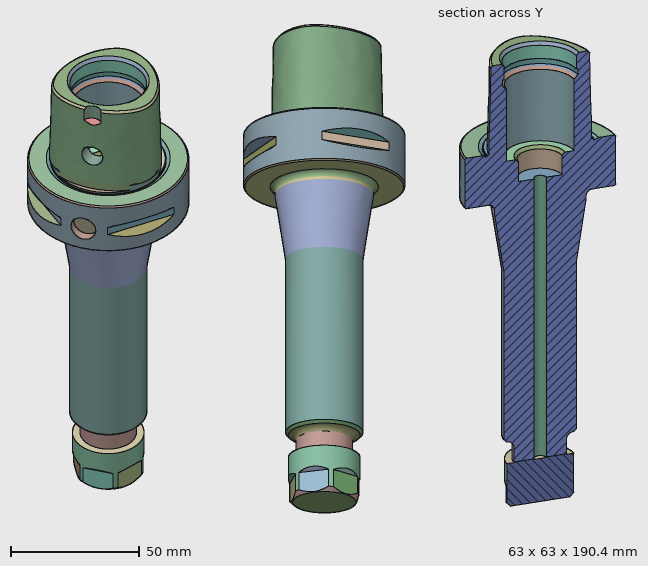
import cadquery as cq
import math

TOTAL_HEIGHT = 190.4
NUT_TOP = 18.7
NECK_TOP = 25.5
NECK_FILLET_TOP = 27.8
SHANK_BOTTOM = 29.0
SHANK_TOP = 100.3
FLARE_TOP = 127.0
FLARE_COLLAR_TOP = 128.1
FLANGE_BOTTOM = 130.6
FLANGE_TOP = 152.5
TAPER_BOTTOM = 155.4

FLANGE_RADIUS = 63.0 / 2
FLANGE_CHAMFER = 0.5
FLARE_RADIUS = 38.5 / 2
SHANK_RADIUS = 30.3 / 2
SHANK_CHAMFER = 1.1
NECK_FILLET_RADIUS = 3.0
FLARE_FILLET_RADIUS = 2.7
FLARE_FILLET_WIDTH = 1.9
NECK_RADIUS = 22.0 / 2

TAPER_BASE_RADIUS = 21.9
TAPER_TOP_RADIUS = 21.04
LOBE_HEIGHT = 1.3
LOBE_COUNT = 3
TOP_CHAMFER_HEIGHT = 1.0
TOP_CHAMFER_WIDTH = 0.8

RELIEF_INNER_RADIUS = 22.3
RELIEF_FLOOR_RADIUS = 22.7
RELIEF_OUTER_RADIUS = 24.2
RELIEF_TOP = 154.8
RELIEF_DEPTH = 0.8

BORE_MOUTH_RADIUS = 32.0 / 2
BORE_RADIUS = 29.9 / 2
BORE_CHAMFER_HEIGHT = 1.3
BORE_SHOULDER_DEPTH = 10.3
INNER_BORE_RADIUS = 28.0 / 2
INNER_BORE_DEPTH = 41.9
SOCKET_MOUTH_RADIUS = 10.3
SOCKET_RADIUS = 18.0 / 2
SOCKET_DEPTH = 9.5
COOLANT_DIAMETER = 5.0
GROOVE_RADIUS = 15.6
GROOVE_START_DEPTH = 7.0
GROOVE_END_DEPTH = 9.5

NOTCH_RADIUS = 3.8
NOTCH_DEPTH = 5.9
NOTCH_POINT_HEIGHT = 2.3
NOTCH_AXIS_Y = -21.1
CROSS_HOLE_DIAMETER = 8.5
CROSS_HOLE_Z = 168.1
CHIP_HOLE_DIAMETER = 10.0
CHIP_HOLE_DEPTH = 3.8

GRIP_Z = 140.7
GRIP_COUNT = 4
GRIP_FLOOR_DISTANCE = 28.0
GRIP_FLOOR_HEIGHT = 3.5
GRIP_SIDE_ANGLE = 30.0

NUT_RADIUS = 28.0 / 2
NUT_BOTTOM_RADIUS = 12.4
NUT_CHAMFER_HEIGHT = 1.7
NUT_FLAT_DISTANCE = 12.5
NUT_FLAT_TOP = 8.8
NUT_FLAT_COUNT = 6

CLEARANCE = 1.9


def revolve_profile(profile):
    """Turn a closed radius/height outline about Z."""
    return profile.close().revolve(360, (0, 0, 0), (0, 1, 0))


def turned(points):
    return revolve_profile(cq.Workplane("XZ").polyline(points))


def lobed_wire(mean_radius, z):
    """Closed three-lobed curve with one lobe pointing along +Y."""
    def point(t):
        angle = 2 * math.pi * t
        lobe_phase = LOBE_COUNT * (angle - math.pi / 2)
        support = mean_radius + LOBE_HEIGHT * math.cos(lobe_phase)
        slope = -LOBE_COUNT * LOBE_HEIGHT * math.sin(lobe_phase)
        x = support * math.cos(angle) - slope * math.sin(angle)
        y = support * math.sin(angle) + slope * math.cos(angle)
        return cq.Vector(x, y, z)

    samples = 36
    points = [point(i / samples - 0.25) for i in range(samples)]
    return cq.Wire.assembleEdges([cq.Edge.makeSpline(points, periodic=True)])


def lobed_prism(bottom_radius, bottom_z, top_radius, top_z):
    wires = [lobed_wire(bottom_radius, bottom_z), lobed_wire(top_radius, top_z)]
    return cq.Workplane(cq.Solid.makeLoft(wires, True))


def make_turned_body():
    """Neck, shank, flare and flange."""
    flare_root_radius = FLARE_RADIUS + FLARE_FILLET_WIDTH
    profile = (
        cq.Workplane("XZ")
        .moveTo(0, NUT_TOP)
        .lineTo(NECK_RADIUS, NUT_TOP)
        .lineTo(NECK_RADIUS, NECK_TOP)
        .radiusArc((SHANK_RADIUS - SHANK_CHAMFER, NECK_FILLET_TOP), NECK_FILLET_RADIUS)
        .lineTo(SHANK_RADIUS, SHANK_BOTTOM)
        .lineTo(SHANK_RADIUS, SHANK_TOP)
        .lineTo(FLARE_RADIUS, FLARE_TOP)
        .lineTo(FLARE_RADIUS, FLARE_COLLAR_TOP)
        .radiusArc((flare_root_radius, FLANGE_BOTTOM), FLARE_FILLET_RADIUS)
        .lineTo(FLANGE_RADIUS - FLANGE_CHAMFER, FLANGE_BOTTOM)
        .lineTo(FLANGE_RADIUS, FLANGE_BOTTOM + FLANGE_CHAMFER)
        .lineTo(FLANGE_RADIUS, FLANGE_TOP - FLANGE_CHAMFER)
        .lineTo(FLANGE_RADIUS - FLANGE_CHAMFER, FLANGE_TOP)
        .lineTo(0, FLANGE_TOP)
    )
    return revolve_profile(profile)


def make_taper():
    """Lobed foot, tapered flank and chamfered top edge."""
    chamfer_z = TOTAL_HEIGHT - TOP_CHAMFER_HEIGHT
    foot = lobed_prism(TAPER_BASE_RADIUS, FLANGE_TOP - CLEARANCE, TAPER_BASE_RADIUS, TAPER_BOTTOM)
    flank = lobed_prism(TAPER_BASE_RADIUS, TAPER_BOTTOM, TAPER_TOP_RADIUS, chamfer_z)
    tip_radius = TAPER_TOP_RADIUS - TOP_CHAMFER_WIDTH
    tip = lobed_prism(TAPER_TOP_RADIUS, chamfer_z, tip_radius, TOTAL_HEIGHT)
    return foot.union(flank).union(tip)


def make_relief():
    floor_z = FLANGE_TOP - RELIEF_DEPTH
    return turned([
        (RELIEF_INNER_RADIUS, floor_z),
        (RELIEF_FLOOR_RADIUS, floor_z),
        (RELIEF_OUTER_RADIUS, FLANGE_TOP),
        (RELIEF_OUTER_RADIUS, RELIEF_TOP),
        (RELIEF_INNER_RADIUS, RELIEF_TOP),
    ])


def make_bore():
    shoulder_z = TOTAL_HEIGHT - BORE_SHOULDER_DEPTH
    ledge_z = TOTAL_HEIGHT - INNER_BORE_DEPTH
    socket_chamfer_z = ledge_z - (SOCKET_MOUTH_RADIUS - SOCKET_RADIUS)
    socket_floor_z = ledge_z - SOCKET_DEPTH
    bore = turned([
        (0, TOTAL_HEIGHT),
        (BORE_MOUTH_RADIUS, TOTAL_HEIGHT),
        (BORE_RADIUS, TOTAL_HEIGHT - BORE_CHAMFER_HEIGHT),
        (BORE_RADIUS, TOTAL_HEIGHT - GROOVE_START_DEPTH),
        (GROOVE_RADIUS, TOTAL_HEIGHT - GROOVE_START_DEPTH),
        (GROOVE_RADIUS, TOTAL_HEIGHT - GROOVE_END_DEPTH),
        (BORE_RADIUS, shoulder_z),
        (INNER_BORE_RADIUS, shoulder_z - (BORE_RADIUS - INNER_BORE_RADIUS)),
        (INNER_BORE_RADIUS, ledge_z),
        (SOCKET_MOUTH_RADIUS, ledge_z),
        (SOCKET_RADIUS, socket_chamfer_z),
        (SOCKET_RADIUS, socket_floor_z),
        (0, socket_floor_z),
    ])
    coolant_hole = (
        cq.Workplane("XY").workplane(offset=NUT_TOP)
        .circle(COOLANT_DIAMETER / 2).extrude(socket_floor_z - NUT_TOP)
    )
    return bore.union(coolant_hole)


def make_notch():
    """Pointed drill shape running down the flat side from the top."""
    cone_z = TOTAL_HEIGHT - NOTCH_DEPTH
    cutter = turned([
        (0, cone_z - NOTCH_POINT_HEIGHT),
        (NOTCH_RADIUS, cone_z),
        (NOTCH_RADIUS, TOTAL_HEIGHT + CLEARANCE),
        (0, TOTAL_HEIGHT + CLEARANCE),
    ])
    return cutter.translate((0, NOTCH_AXIS_Y, 0))


def make_front_hole(diameter, z, start_y, end_y):
    """Flat-ended hole along Y between two distances in front of the axis."""
    return (
        cq.Workplane("XZ", origin=(0, -end_y, z))
        .circle(diameter / 2).extrude(start_y - end_y)
    )


def make_grip_groove(angle):
    outer_distance = FLANGE_RADIUS + CLEARANCE
    half_floor = GRIP_FLOOR_HEIGHT / 2
    rise = (outer_distance - GRIP_FLOOR_DISTANCE) * math.tan(math.radians(GRIP_SIDE_ANGLE))
    groove = (
        cq.Workplane("XZ")
        .polyline([
            (GRIP_FLOOR_DISTANCE, GRIP_Z - half_floor),
            (outer_distance, GRIP_Z - half_floor - rise),
            (outer_distance, GRIP_Z + half_floor + rise),
            (GRIP_FLOOR_DISTANCE, GRIP_Z + half_floor),
        ])
        .close().extrude(FLANGE_RADIUS, both=True)
    )
    return groove.rotate((0, 0, 0), (0, 0, 1), angle)


def make_holder():
    holder = make_turned_body().union(make_taper())
    holder = holder.cut(make_relief()).cut(make_bore()).cut(make_notch())
    holder = holder.cut(make_front_hole(CROSS_HOLE_DIAMETER, CROSS_HOLE_Z, FLANGE_RADIUS, 0))
    chip_floor = FLANGE_RADIUS - CHIP_HOLE_DEPTH
    holder = holder.cut(
        make_front_hole(CHIP_HOLE_DIAMETER, GRIP_Z, FLANGE_RADIUS + CLEARANCE, chip_floor)
    )
    for i in range(GRIP_COUNT):
        holder = holder.cut(make_grip_groove((i + 0.5) * 360 / GRIP_COUNT))
    return holder


def make_nut_flat(angle):
    """Wrench flat that runs out upward at 45 degrees."""
    outer_distance = NUT_RADIUS + CLEARANCE
    run_out = outer_distance - NUT_FLAT_DISTANCE
    cutter = (
        cq.Workplane("XZ")
        .polyline([
            (NUT_FLAT_DISTANCE, -CLEARANCE),
            (outer_distance, -CLEARANCE),
            (outer_distance, NUT_FLAT_TOP + run_out),
            (NUT_FLAT_DISTANCE, NUT_FLAT_TOP),
        ])
        .close().extrude(NUT_RADIUS, both=True)
    )
    return cutter.rotate((0, 0, 0), (0, 0, 1), angle)


def make_nut():
    nut = turned([
        (0, 0),
        (NUT_BOTTOM_RADIUS, 0),
        (NUT_RADIUS, NUT_CHAMFER_HEIGHT),
        (NUT_RADIUS, NUT_TOP),
        (0, NUT_TOP),
    ])
    for i in range(NUT_FLAT_COUNT):
        nut = nut.cut(make_nut_flat((i + 0.5) * 360 / NUT_FLAT_COUNT))
    return nut


holder = make_holder()
nut = make_nut()
result = cq.Compound.makeCompound([holder.val(), nut.val()])